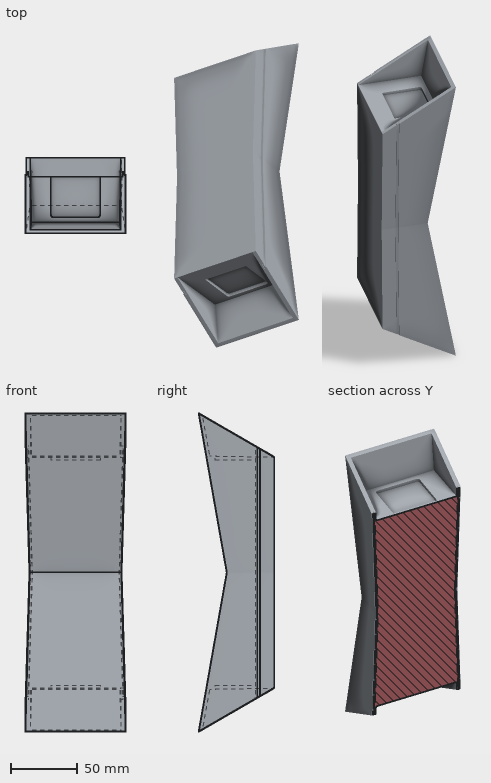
import cadquery as cq
import math

height = 240.0
depth = 57.0
end_width = 75.4
side_draft = 2.0
end_slope = 30.0
front_slope = 10.0

side_wall = 3.5
front_wall = 2.5
deck_tilt = 1.0
pocket_width = 37.0
pocket_depth = 2.0
pocket_corner = 2.0
pocket_margin = 3.8

cover_edge = 10.8
cover_depth = 14.5
lip_length = 2.2
lip_inset = 0.7
cover_inset = 0.5
tongue_inset = 2.2
joint_clearance = 0.2

half_height = height / 2
back_y = depth / 2
front_y = -back_y
waist_y = front_y + half_height * math.tan(math.radians(front_slope))
deck_z = half_height - depth * math.tan(math.radians(end_slope))
cover_front_y = back_y - cover_depth
cover_edge_y = back_y - cover_edge
lip_front_y = cover_edge_y - lip_length
deck_front_y = waist_y - deck_z * math.tan(math.radians(front_slope)) + front_wall
deck_front_z = deck_z + (back_y - deck_front_y) * math.tan(math.radians(deck_tilt))
pocket_front_y = deck_front_y + pocket_margin


def drafted_half(inset):
    """Long bar along the upper rim; its sides draft inwards below the rim plane."""
    rim_x = end_width / 2 - inset
    low_x = rim_x - half_height * math.tan(math.radians(side_draft))
    rim_direction = (0, math.cos(math.radians(end_slope)), -math.sin(math.radians(end_slope)))
    rim_plane = cq.Plane(origin=(0, front_y, half_height), xDir=(1, 0, 0), normal=rim_direction)
    section = [(-rim_x, 0), (rim_x, 0), (low_x, half_height), (-low_x, half_height)]
    return cq.Workplane(rim_plane).polyline(section).close().extrude(height)


def waisted_plate(inset, y_min, y_max):
    """Waisted slice from y_min to y_max, its sides moved inwards by inset."""
    upper_slice = cq.Workplane("XY").box(end_width, y_max - y_min, half_height, centered=(True, False, False))
    upper = drafted_half(inset).intersect(upper_slice.translate((0, y_min, 0)))
    return upper.union(upper.mirror("XY"))


def side_profile():
    """Prism along X with the sloped ends and the bent front."""
    outline = [
        (back_y, -deck_z),
        (back_y, deck_z),
        (front_y, half_height),
        (waist_y, 0),
        (front_y, -half_height),
    ]
    return cq.Workplane("YZ").polyline(outline).close().extrude(end_width / 2, both=True)


def upper_recess():
    """Space above the upper deck, inside the side walls and the front wall."""
    outline = [
        (back_y, deck_z),
        (deck_front_y, deck_front_z),
        (front_y + front_wall, half_height),
        (back_y, half_height),
    ]
    space = cq.Workplane("YZ").polyline(outline).close().extrude(end_width / 2, both=True)
    return space.intersect(drafted_half(side_wall))


def upper_pocket():
    """Shallow pocket in the upper deck, running up to the cover."""
    length = cover_front_y - pocket_front_y
    block = cq.Workplane("XY").box(pocket_width, length, 2 * pocket_depth, centered=(True, False, False))
    block = block.edges("|Z and <Y").fillet(pocket_corner)
    return block.translate((0, pocket_front_y, deck_z - pocket_depth))


def cut_both_ends(body, upper_tool):
    """Cut the upper tool and its mirror image at the lower end."""
    return body.cut(upper_tool).cut(upper_tool.mirror("XY"))


def make_housing():
    shell = waisted_plate(0, front_y, lip_front_y)
    lip = waisted_plate(lip_inset, lip_front_y, cover_edge_y - joint_clearance)
    body = shell.union(lip).intersect(side_profile())
    body = body.cut(waisted_plate(tongue_inset - joint_clearance, cover_front_y, cover_edge_y))
    body = cut_both_ends(body, upper_recess())
    return cut_both_ends(body, upper_pocket())


def make_cover():
    plate = waisted_plate(cover_inset, cover_edge_y, back_y)
    tongue = waisted_plate(tongue_inset, cover_front_y, cover_edge_y)
    body = plate.union(tongue).intersect(side_profile())
    return cut_both_ends(body, upper_recess())


housing = make_housing()
cover = make_cover()

result = cq.Compound.makeCompound([housing.val(), cover.val()])